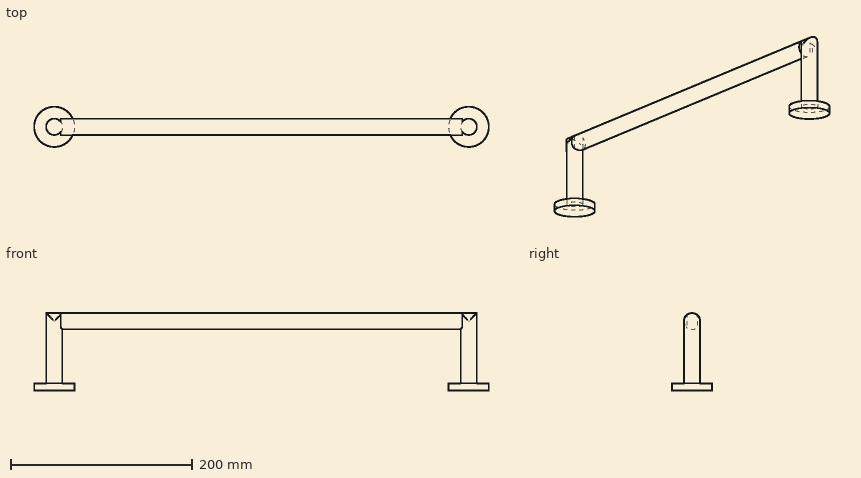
import cadquery as cq

overall_length = 501.5
overall_height = 86.0

flange_diameter = 44.5
flange_thickness = 8.0

tube_diameter = 18.0
tube_radius = tube_diameter / 2

rail_end_offset = 7.0

post_x = (overall_length - flange_diameter) / 2
rail_z = overall_height - tube_radius


def rod_along_x(half_length):
    """Round rod at rail height, centred on the middle of the part."""
    return (
        cq.Workplane("YZ", origin=(-half_length, 0, 0))
        .center(0, rail_z)
        .circle(tube_radius)
        .extrude(2 * half_length)
    )


def post(x):
    """Upright whose top is rounded to follow the rail's upper half."""
    shaft = cq.Workplane("XY").center(x, 0).circle(tube_radius).extrude(overall_height)
    below_axis = cq.Workplane("XY").center(x, 0).rect(tube_diameter, tube_diameter).extrude(rail_z)
    rounded_envelope = below_axis.union(rod_along_x(overall_length / 2))
    return shaft.intersect(rounded_envelope)


def flange(x):
    """Flat disc at the foot of a post."""
    return cq.Workplane("XY").center(x, 0).circle(flange_diameter / 2).extrude(flange_thickness)


result = rod_along_x(post_x - rail_end_offset)
for side in (-1, 1):
    result = result.union(post(side * post_x)).union(flange(side * post_x))